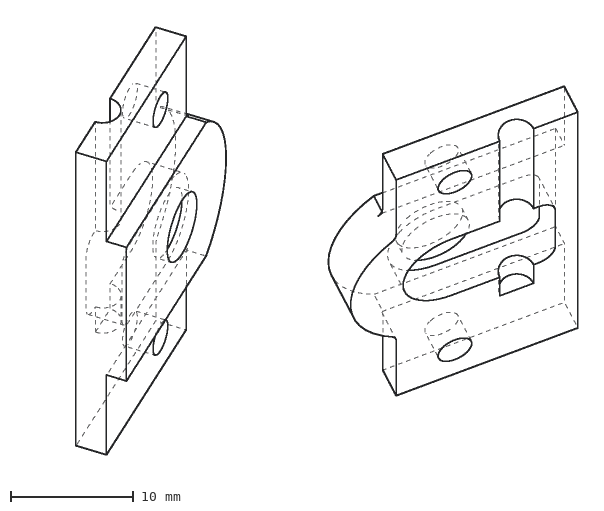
import cadquery as cq
import math

plate_length = 32.95
plate_width = 16.17
plate_thickness = 2.75
total_thickness = 4.5

overall_width = 20.23
lobe_center_y = 11.25
lobe_radius = overall_width - lobe_center_y
lobe_fillet_radius = 1.0
pad_half_length = math.sqrt(lobe_radius**2 - (plate_width - lobe_center_y) ** 2)

pocket_radius = 4.28
pocket_end_y = 2.0
pocket_corner_radius = 1.5
pocket_depth = 3.2
bore_diameter = 6.0

mount_diameter = 3.0
mount_y = 10.95
mount_z = 12.78

groove_diameter = 3.0
groove_y = 5.45
groove_end_z = -7.1


def lobed_slab(half_length, thickness):
    """Rectangle joined to the lobe; the lobe is trimmed to the +Y side of the rectangle."""
    slab = (
        cq.Workplane("YZ")
        .center(plate_width / 2, 0)
        .rect(plate_width, 2 * half_length)
        .extrude(thickness)
    )
    lobe = (
        cq.Workplane("YZ")
        .moveTo(plate_width, -pad_half_length)
        .threePointArc((overall_width, 0), (plate_width, pad_half_length))
        .close()
        .extrude(thickness)
    )
    return slab.union(lobe)


def through_hole(diameter, y, z):
    return cq.Workplane("YZ").center(y, z).circle(diameter / 2).extrude(total_thickness)


def pocket():
    """Round-ended pocket with two rounded corners at its straight end."""
    straight = (
        cq.Workplane("YZ")
        .center((pocket_end_y + lobe_center_y) / 2, 0)
        .rect(lobe_center_y - pocket_end_y, 2 * pocket_radius)
        .extrude(pocket_depth)
        .edges("|X and <Y")
        .fillet(pocket_corner_radius)
    )
    round_end = cq.Workplane("YZ").center(lobe_center_y, 0).circle(pocket_radius).extrude(pocket_depth)
    return straight.union(round_end)


margin = 0.33
lobe_corners = cq.selectors.BoxSelector(
    (0, plate_width - margin, -pad_half_length - margin),
    (plate_thickness, plate_width + margin, pad_half_length + margin),
)
plate = lobed_slab(plate_length / 2, plate_thickness).edges("|X").edges(lobe_corners)
plate = plate.fillet(lobe_fillet_radius)

result = plate.union(lobed_slab(pad_half_length, total_thickness))

result = result.cut(pocket())
result = result.cut(through_hole(bore_diameter, lobe_center_y, 0))

for z in (-mount_z, mount_z):
    result = result.cut(through_hole(mount_diameter, mount_y, z))

groove = (
    cq.Workplane("XY", origin=(0, groove_y, groove_end_z))
    .circle(groove_diameter / 2)
    .extrude(plate_length / 2 - groove_end_z)
)
result = result.cut(groove)